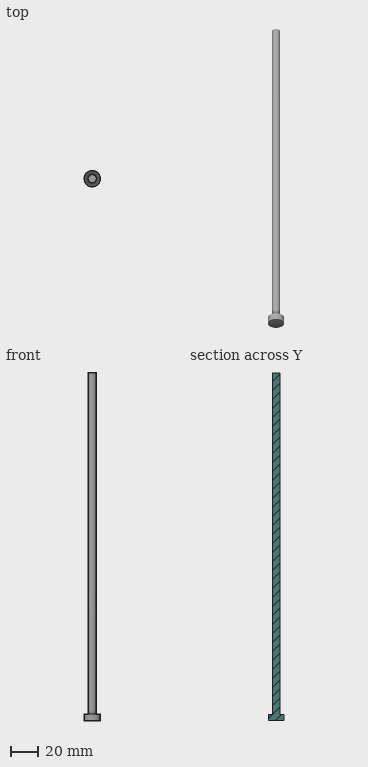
import cadquery as cq

overall_length = 255.0
head_diameter = 12.0
head_height = 5.0
shank_diameter = 6.0
shank_length = overall_length - head_height


def make_head():
    """Flat cylindrical head with its underside at Z = 0."""
    return cq.Workplane("XY").circle(head_diameter / 2).extrude(head_height)


def make_shank():
    """Plain round shank rising from the top of the head."""
    return cq.Workplane("XY").workplane(offset=head_height).circle(shank_diameter / 2).extrude(shank_length)


result = make_head().union(make_shank())